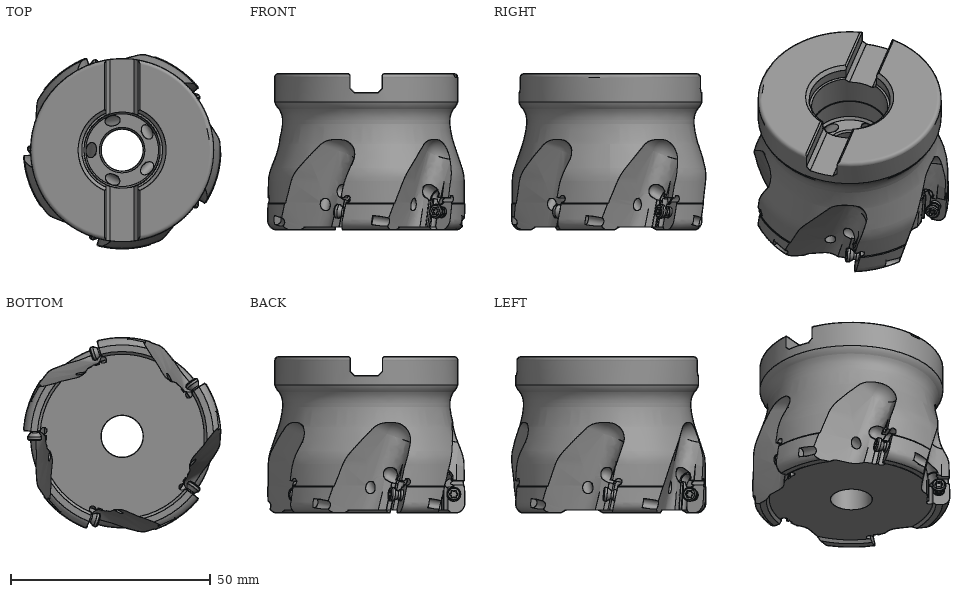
import cadquery as cq
import math


TOOTH_COUNT = 5
TOOTH_PITCH = 360 / TOOTH_COUNT
FIRST_TOOTH_ANGLE = TOOTH_PITCH / 2

HEIGHT = 39.23
HUB_RADIUS = 23.0
HUB_TOP_ROUND = 1.0
HUB_BOTTOM = 32.1
HUB_UNDERCUT_RADIUS = 22.2
HUB_UNDERCUT_TOP = 30.65
HUB_UNDERCUT_BOTTOM = 30.3
HUB_FLARE_RADIUS = 21.9
NECK_RADIUS = 21.05
NECK_TOP = 27.5
NECK_BOTTOM = 26.5
SHOULDER_TOP = 21.45
SHOULDER_TOP_RADIUS = 22.1
SHOULDER_BOTTOM = 15.5
SHOULDER_BOTTOM_RADIUS = 24.1
SKIRT_TOP = 12.2
SKIRT_RADIUS = 24.65
RIM_TOP = 6.8
RIM_STEP_HEIGHT = 0.25
RIM_RADIUS = 24.82
RIM_CORNER_TOP = 2.57
RIM_CORNER_MIDDLE = 0.9
RIM_CORNER_MIDDLE_RADIUS = 24.26
RIM_BOTTOM_RADIUS = 22.95

RECESS_DEPTH = 0.7
RECESS_RADIUS = 20.6
RECESS_RIM_RADIUS = RECESS_RADIUS + RECESS_DEPTH

MOUTH_RADIUS = 11.05
ENTRY_RADIUS = 10.15
ENTRY_DEPTH = 3.5
BORE_RADIUS = 9.55
BORE_RELIEF_TOP = 27.4
BORE_RELIEF_RADIUS = 9.75
BORE_FLOOR_RADIUS = 9.13
BORE_FLOOR = 21.0
BOLT_HOLE_RADIUS = 5.25
BOLT_HOLE_CHAMFER = 0.45

SLOT_WIDTH = 8.0
SLOT_DEPTH = 4.75
SLOT_FLOOR_CHAMFER = 1.0
SLOT_EDGE_CHAMFER = 0.45

FLUTE_RADIUS = 4.0
FLUTE_BOTTOM_CENTRE = cq.Vector(21.5, -6.1, RECESS_DEPTH)
FLUTE_TOP_CENTRE = cq.Vector(23.4, 0.4, 19.0)
FLUTE_BOTTOM_FLOOR_ANGLE = 3
FLUTE_TOP_FLOOR_ANGLE = 20
FLUTE_FLOOR_REACH = 14.0
FLUTE_WALL_REACH = 4.0
FLUTE_OVERRUN = 6.0

AXIAL_RAKE = 12
SEAT_ORIGIN = cq.Vector(0, 1.25, 0)
POCKET_LENGTH = 8.0
POCKET_OVERRUN = 1.0
POCKET_DEPTH = 5.0
POCKET_WALL_RADIUS = 19.7
POCKET_WALL_SLOPE = 11
CLEARANCE_OFFSET = 1.6
CLEARANCE_LENGTH = 18.0
CLEARANCE_START_RADIUS = 22.6
CHANNEL_RADIUS = 0.8
RELIEF_RADIUS = 1.75
RELIEF_START = cq.Vector(19.4, 0, 9.7)
RELIEF_DIRECTION = cq.Vector(1.3, 3.0, -1.9)
RELIEF_LENGTH = 2.2
RELIEF_TIP_RADIUS = 1.35
RELIEF_TIP_LENGTH = 4.6
KEY_WIDTH = 1.1
KEY_DEPTH = 0.4
KEY_HEIGHT = 1.75
BEYOND_BODY = 28.0

GROOVE_RADIUS = 1.2
GROOVE_START = cq.Vector(22.5, 8.9, 2.5)
GROOVE_DIRECTION = cq.Vector(-0.8, 3.7, -0.6)
GROOVE_LENGTH = 5.0

COOLANT_RADIUS = 1.3
COOLANT_ENTRY = cq.Vector(7.75, 0, BORE_FLOOR)
COOLANT_EXIT_RADIUS = 18.8
COOLANT_EXIT_ANGLE = 57
COOLANT_EXIT_HEIGHT = 6.4
COOLANT_OVERRUN = 3.0

SCREW_DISTANCE = 21.95
SCREW_HEIGHT = 4.4
SCREW_TILT = 6
SCREW_SHANK_RADIUS = 1.4
SCREW_SHANK_DEPTH = 4.0
SCREW_SHANK_TOP = 0.6
SCREW_NECK_RADIUS = 1.05
SCREW_NECK_TOP = 1.2
SCREW_HEAD_RADIUS = 1.75
SCREW_CONE_TOP = 2.2
SCREW_HEAD_TOP = 3.15
SCREW_HEAD_CHAMFER = 0.3
SOCKET_RADIUS = 0.75
SOCKET_LOBE_RADIUS = 0.28
SOCKET_LOBES = 6
SOCKET_DEPTH = 0.9


def tooth_angles():
    return [FIRST_TOOTH_ANGLE + TOOTH_PITCH * number for number in range(TOOTH_COUNT)]


def turned(shape, angle):
    return shape.rotate((0, 0, 0), (0, 0, 1), angle)


def rod(start, end, radius):
    axis = end - start
    return cq.Solid.makeCylinder(radius, axis.Length, start, axis)


def ball(centre, radius):
    return cq.Workplane("XY", origin=centre.toTuple()).sphere(radius).val()


def body_blank():
    round_offset = HUB_TOP_ROUND * (1 - math.sqrt(0.5))
    profile = (
        cq.Workplane("XZ")
        .moveTo(BOLT_HOLE_RADIUS, RECESS_DEPTH)
        .lineTo(RECESS_RADIUS, RECESS_DEPTH)
        .lineTo(RECESS_RIM_RADIUS, 0)
        .lineTo(RIM_BOTTOM_RADIUS, 0)
        .threePointArc((RIM_CORNER_MIDDLE_RADIUS, RIM_CORNER_MIDDLE), (RIM_RADIUS, RIM_CORNER_TOP))
        .lineTo(RIM_RADIUS, RIM_TOP - RIM_STEP_HEIGHT)
        .lineTo(SKIRT_RADIUS, RIM_TOP)
        .lineTo(SKIRT_RADIUS, SKIRT_TOP)
        .tangentArcPoint((SHOULDER_BOTTOM_RADIUS, SHOULDER_BOTTOM), relative=False)
        .lineTo(SHOULDER_TOP_RADIUS, SHOULDER_TOP)
        .tangentArcPoint((NECK_RADIUS, NECK_BOTTOM), relative=False)
        .lineTo(NECK_RADIUS, NECK_TOP)
        .tangentArcPoint((HUB_FLARE_RADIUS, HUB_UNDERCUT_BOTTOM), relative=False)
        .lineTo(HUB_UNDERCUT_RADIUS, HUB_UNDERCUT_TOP)
        .tangentArcPoint((HUB_RADIUS, HUB_BOTTOM), relative=False)
        .lineTo(HUB_RADIUS, HEIGHT - HUB_TOP_ROUND)
        .threePointArc(
            (HUB_RADIUS - round_offset, HEIGHT - round_offset),
            (HUB_RADIUS - HUB_TOP_ROUND, HEIGHT),
        )
        .lineTo(MOUTH_RADIUS, HEIGHT)
        .lineTo(ENTRY_RADIUS, HEIGHT - (MOUTH_RADIUS - ENTRY_RADIUS))
        .lineTo(ENTRY_RADIUS, HEIGHT - ENTRY_DEPTH)
        .lineTo(BORE_RADIUS, HEIGHT - ENTRY_DEPTH)
        .lineTo(BORE_RADIUS, BORE_RELIEF_TOP)
        .lineTo(BORE_RELIEF_RADIUS, BORE_RELIEF_TOP)
        .lineTo(BORE_RELIEF_RADIUS, BORE_FLOOR + BORE_RELIEF_RADIUS - BORE_FLOOR_RADIUS)
        .lineTo(BORE_FLOOR_RADIUS, BORE_FLOOR)
        .lineTo(BOLT_HOLE_RADIUS + BOLT_HOLE_CHAMFER, BORE_FLOOR)
        .lineTo(BOLT_HOLE_RADIUS, BORE_FLOOR - BOLT_HOLE_CHAMFER)
        .close()
    )
    return profile.revolve(360, (0, 0, 0), (0, 1, 0))


def drive_slot():
    half = SLOT_WIDTH / 2
    floor = HEIGHT - SLOT_DEPTH
    outline = [
        (half - SLOT_FLOOR_CHAMFER, floor),
        (half, floor + SLOT_FLOOR_CHAMFER),
        (half, HEIGHT - SLOT_EDGE_CHAMFER),
        (half + SLOT_EDGE_CHAMFER, HEIGHT),
    ]
    mirrored = [(-x, z) for x, z in reversed(outline)]
    return cq.Workplane("XZ").polyline(outline + mirrored).close().extrude(BEYOND_BODY, both=True)


def flute_section(centre, axis, floor_angle):
    """Closed wire square to the flute axis: sloping floor, round root and radial wall.

    Also returns the point that lies one floor length from the centre, parallel to the floor.
    """
    tangential = axis.cross(cq.Vector(0, 1, 0)).cross(axis)
    plane = cq.Plane(origin=centre, xDir=tangential, normal=-axis)
    slope = math.radians(floor_angle)
    root = -(math.pi / 2 + slope) / 2
    tangent = (-FLUTE_RADIUS * math.sin(slope), -FLUTE_RADIUS * math.cos(slope))
    along_floor = (-FLUTE_FLOOR_REACH * math.cos(slope), FLUTE_FLOOR_REACH * math.sin(slope))
    far = (tangent[0] + along_floor[0], tangent[1] + along_floor[1])
    section = (
        cq.Workplane(plane)
        .moveTo(*tangent)
        .threePointArc(
            (FLUTE_RADIUS * math.cos(root), FLUTE_RADIUS * math.sin(root)),
            (FLUTE_RADIUS, 0),
        )
        .lineTo(FLUTE_RADIUS, FLUTE_WALL_REACH)
        .lineTo(far[0], FLUTE_WALL_REACH)
        .lineTo(*far)
        .close()
    )
    return section.val(), plane.toWorldCoords(along_floor)


def flute():
    """Round-rooted channel whose floor twists along its length, closed by a ball-nosed end."""
    axis = (FLUTE_TOP_CENTRE - FLUTE_BOTTOM_CENTRE).normalized()
    low_centre = FLUTE_BOTTOM_CENTRE - axis * FLUTE_OVERRUN
    low, _ = flute_section(low_centre, axis, FLUTE_BOTTOM_FLOOR_ANGLE)
    high, floor_end = flute_section(FLUTE_TOP_CENTRE, axis, FLUTE_TOP_FLOOR_ANGLE)
    channel = cq.Solid.makeLoft([low, high], True)
    end_sweep = rod(FLUTE_TOP_CENTRE, floor_end, FLUTE_RADIUS)
    return channel.fuse(end_sweep).fuse(ball(FLUTE_TOP_CENTRE, FLUTE_RADIUS))


def tilted_directions(tilt):
    """Directions up along, and squarely out of, a face leaning back by the tilt."""
    lean = math.radians(tilt)
    up = cq.Vector(0, math.sin(lean), math.cos(lean))
    out = cq.Vector(0, -math.cos(lean), math.sin(lean))
    return up, out


def insert_pocket():
    """Seat with a keyed side wall, corner reliefs and a clearance flat above it."""
    up, _ = tilted_directions(AXIAL_RAKE)
    origin = SEAT_ORIGIN - up * POCKET_OVERRUN
    plane = cq.Plane(origin=origin, xDir=(1, 0, 0), normal=up)
    wall_lean = math.tan(math.radians(POCKET_WALL_SLOPE))
    length = POCKET_LENGTH + POCKET_OVERRUN

    pocket = (
        cq.Workplane(plane)
        .polyline([
            (POCKET_WALL_RADIUS, 0),
            (BEYOND_BODY, 0),
            (BEYOND_BODY, -POCKET_DEPTH),
            (POCKET_WALL_RADIUS - wall_lean * POCKET_DEPTH, -POCKET_DEPTH),
        ])
        .close()
        .extrude(length)
        .val()
    )
    key = (
        cq.Workplane(plane)
        .center(POCKET_WALL_RADIUS - wall_lean * KEY_HEIGHT, -KEY_HEIGHT)
        .rect(2 * KEY_DEPTH, KEY_WIDTH)
        .extrude(length)
        .val()
    )
    clearance = (
        cq.Workplane(plane)
        .polyline([
            (CLEARANCE_START_RADIUS, -CLEARANCE_OFFSET),
            (BEYOND_BODY, -CLEARANCE_OFFSET),
            (BEYOND_BODY, -POCKET_DEPTH),
            (CLEARANCE_START_RADIUS, -POCKET_DEPTH),
        ])
        .close()
        .extrude(CLEARANCE_LENGTH)
        .val()
    )
    corner_bottom = origin + cq.Vector(POCKET_WALL_RADIUS, 0, 0)
    corner_top = corner_bottom + up * length
    corner_channel = rod(corner_bottom, corner_top, CHANNEL_RADIUS)
    outer_end = corner_top + cq.Vector(BEYOND_BODY - POCKET_WALL_RADIUS, 0, 0)
    top_channel = rod(corner_top, outer_end, CHANNEL_RADIUS)
    relief_axis = RELIEF_DIRECTION.normalized()
    relief = rod(RELIEF_START, RELIEF_START + relief_axis * RELIEF_LENGTH, RELIEF_RADIUS)
    relief_tip = rod(RELIEF_START, RELIEF_START + relief_axis * RELIEF_TIP_LENGTH, RELIEF_TIP_RADIUS)
    relief_ball = ball(RELIEF_START, RELIEF_RADIUS)
    return pocket.fuse(key, clearance, corner_channel, top_channel, relief, relief_tip, relief_ball)


def balancing_groove():
    end = GROOVE_START + GROOVE_DIRECTION.normalized() * GROOVE_LENGTH
    return rod(GROOVE_START, end, GROOVE_RADIUS)


def coolant_hole():
    """Slanted hole from the bore floor to the flute of the next tooth."""
    exit_angle = math.radians(COOLANT_EXIT_ANGLE)
    flute_end = cq.Vector(
        COOLANT_EXIT_RADIUS * math.cos(exit_angle),
        COOLANT_EXIT_RADIUS * math.sin(exit_angle),
        COOLANT_EXIT_HEIGHT,
    )
    overrun = (COOLANT_ENTRY - flute_end).normalized() * COOLANT_OVERRUN
    return rod(COOLANT_ENTRY + overrun, flute_end - overrun, COOLANT_RADIUS)


def screw_plane():
    up, _ = tilted_directions(AXIAL_RAKE)
    _, screw_axis = tilted_directions(SCREW_TILT)
    seat_point = SEAT_ORIGIN + up * (SCREW_HEIGHT / up.z) + cq.Vector(SCREW_DISTANCE, 0, 0)
    return cq.Plane(origin=seat_point, xDir=(1, 0, 0), normal=screw_axis)


def screw_hole():
    return (
        cq.Workplane(screw_plane())
        .workplane(offset=-SCREW_SHANK_DEPTH)
        .circle(SCREW_SHANK_RADIUS)
        .extrude(SCREW_SHANK_DEPTH + SCREW_SHANK_TOP)
        .val()
    )


def screw():
    turned_profile = (
        cq.Workplane("XZ")
        .polyline([
            (0, -SCREW_SHANK_DEPTH),
            (SCREW_SHANK_RADIUS, -SCREW_SHANK_DEPTH),
            (SCREW_SHANK_RADIUS, SCREW_SHANK_TOP),
            (SCREW_NECK_RADIUS, SCREW_SHANK_TOP),
            (SCREW_NECK_RADIUS, SCREW_NECK_TOP),
            (SCREW_HEAD_RADIUS, SCREW_CONE_TOP),
            (SCREW_HEAD_RADIUS, SCREW_HEAD_TOP - SCREW_HEAD_CHAMFER),
            (SCREW_HEAD_RADIUS - SCREW_HEAD_CHAMFER, SCREW_HEAD_TOP),
            (0, SCREW_HEAD_TOP),
        ])
        .close()
        .revolve(360, (0, 0, 0), (0, 1, 0))
    )
    socket_top = cq.Workplane("XY", origin=(0, 0, SCREW_HEAD_TOP))
    core = socket_top.circle(SOCKET_RADIUS).extrude(-SOCKET_DEPTH)
    lobes = (
        socket_top.polarArray(SOCKET_RADIUS, 0, 360, SOCKET_LOBES)
        .circle(SOCKET_LOBE_RADIUS)
        .extrude(-SOCKET_DEPTH)
    )
    return turned_profile.cut(core).cut(lobes).val().moved(cq.Location(screw_plane()))


tooth_cuts = [
    flute(),
    insert_pocket(),
    balancing_groove(),
    coolant_hole(),
    screw_hole(),
]
cutter_body = body_blank().cut(drive_slot()).val()
for cut_shape in tooth_cuts:
    for tooth_angle in tooth_angles():
        cutter_body = cutter_body.cut(turned(cut_shape, tooth_angle))

insert_screw = screw()
insert_screws = [turned(insert_screw, tooth_angle) for tooth_angle in tooth_angles()]

result = cq.Compound.makeCompound([cutter_body, *insert_screws])